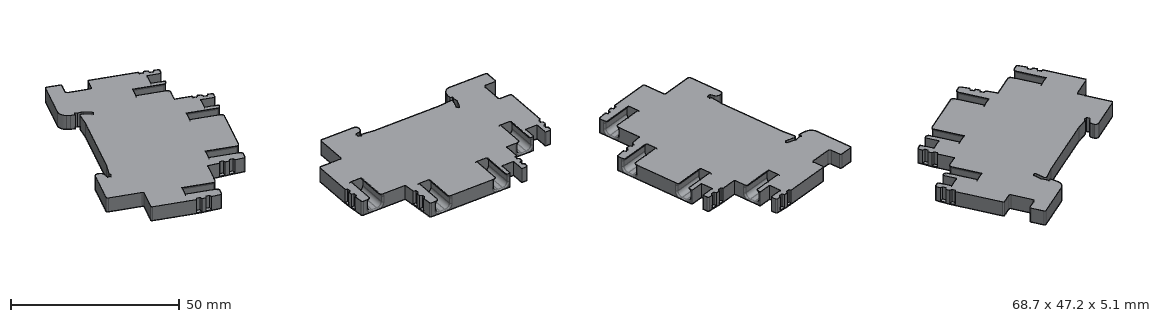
import cadquery as cq
import math

LENGTH = 68.65
HEIGHT = 47.2
THICKNESS = 5.1

UPPER_Y = HEIGHT
TIER_STEP = 11.95
LOWER_Y = UPPER_Y - TIER_STEP
LOWER_LEFT_X = 0.4
UPPER_LEFT_X = 16.8
LOWER_RIGHT_X = 68.0
UPPER_RIGHT_X = 51.55
SIDE_LEAN = 5.0
CORNER_R = 0.5
POST_CORNER_R = 0.2

SLOT_OFFSET = 2.05
SLOT_WIDTH = 4.1
SLOT_DEPTH = 4.45

CHANNEL_WIDTH = 5.0
CHANNEL_FLOOR_Z = 0.4
CHANNEL_FLOOR_R = 1.65
CHANNEL_TOP_R = 1.0
CHANNEL_OPENING = 3.4
CHANNEL_LENGTH = 10.5
CHANNEL_MOUTH_R = 0.55
MOUTH_MARGIN = 0.1
LOWER_CHANNELS_X = (9.9, 63.3)
UPPER_CHANNELS_X = (26.3, 46.9)

NOTCH_WIDTH = 1.8
NOTCH_DEPTH = 0.75
NOTCH_TAPER = 24.0
NOTCH_FLOOR_Z = 0.35
NOTCH_PITCH = 3.1
LEFT_NOTCH_DROP = 2.6
RIGHT_NOTCH_DROP = 4.2

BODY_BOTTOM_Y = 13.2
LEFT_NECK_X = 4.4
LEFT_NECK_R = 0.75
FOOT_TOP_Y = 5.1
RIGHT_NECK_X = 60.6
RIGHT_FOOT_Y = 1.65
RIGHT_FOOT_R = 0.6

SEAT_Y = 6.4
SEAT_LEFT_X = 21.2
SEAT_RIGHT_X = 44.35
SEAT_EDGE_Y = 5.9

NOSE_X = 15.3
NOSE_R = 2.75
NOSE_FLANK_X = 16.1
NOSE_FLANK_Y = 3.3
CATCH_X = 16.2
CATCH_ROOT_X = 15.3
CATCH_Y = 4.75
BUMP_X = 15.5
BUMP_Y = 5.6

SPRING_BEND_X = 15.3
SPRING_BEND_Y = 7.3
SPRING_BEND_R = 1.0
SPRING_TOP_LEFT_X = 16.4
SPRING_TOP_RIGHT_X = 17.5
SPRING_TOP_Y = 10.15
SPRING_TOP_R = 0.5
SPRING_LIP_X = 16.05
SPRING_LIP_R = 0.6

HOOK_X = 47.6
HOOK_SHOULDER_Y = 4.3
HOOK_TOP_R = 1.5
HOOK_BOTTOM_R = 1.0
HOOK_ROOT_X = 50.05
HOOK_ROOT_BOTTOM_Y = 4.95
HOOK_ROOT_TOP_Y = 6.1
UNDERCUT_PEAK_X = 49.0
SEAT_END_X = 48.6


def lean_shift(drop):
    """Sideways shift of a leaning wall at a distance below its top."""
    return drop * math.tan(math.radians(SIDE_LEAN))


def lean_height(shift):
    """Height over which a leaning wall moves sideways by shift."""
    return shift / math.tan(math.radians(SIDE_LEAN))


def rounded_outline(corners, plane):
    """Closed wire in a plane through its (x, y, radius) corners; radius 0 keeps a corner sharp."""
    spans = []
    for i, (x, y, radius) in enumerate(corners):
        here = cq.Vector(x, y)
        to_last = (cq.Vector(*corners[i - 1][:2]) - here).normalized()
        to_next = (cq.Vector(*corners[(i + 1) % len(corners)][:2]) - here).normalized()
        half_angle = to_last.getAngle(to_next) / 2
        setback = radius / math.tan(half_angle)
        bulge = radius / math.sin(half_angle) - radius
        middle = here + (to_last + to_next).normalized() * bulge
        spans.append((here + to_last * setback, middle, here + to_next * setback, radius))
    outline = cq.Workplane(plane).moveTo(*spans[0][2].toTuple()[:2])
    for start, middle, end, radius in spans[1:] + spans[:1]:
        outline = outline.lineTo(start.x, start.y)
        if radius > 0:
            outline = outline.threePointArc((middle.x, middle.y), (end.x, end.y))
    return outline.wire()


def left_tier(corner_x, top_y):
    """Corners of a left side wall and its open slot, from the wall's foot."""
    slot_left = corner_x + SLOT_OFFSET
    slot_right = slot_left + SLOT_WIDTH
    slot_bottom = top_y - SLOT_DEPTH
    return [
        (corner_x - LOWER_LEFT_X, top_y - lean_height(LOWER_LEFT_X), 0),
        (corner_x, top_y, CORNER_R),
        (slot_left, top_y, POST_CORNER_R),
        (slot_left, slot_bottom, 0),
        (slot_right, slot_bottom, 0),
        (slot_right, top_y, POST_CORNER_R),
    ]


def plate():
    left_foot = [
        (NOSE_X, 0, NOSE_R),
        (0, 0, CORNER_R),
        (0, FOOT_TOP_Y, CORNER_R),
        (LEFT_NECK_X, FOOT_TOP_Y, LEFT_NECK_R),
        (LEFT_NECK_X, BODY_BOTTOM_Y, CORNER_R),
        (0, BODY_BOTTOM_Y, CORNER_R),
    ]
    upper_side = (
        left_tier(LOWER_LEFT_X, LOWER_Y)
        + [(UPPER_LEFT_X - LOWER_LEFT_X, LOWER_Y, 0)]
        + left_tier(UPPER_LEFT_X, UPPER_Y)
    )
    right_side = [
        (UPPER_RIGHT_X, UPPER_Y, CORNER_R),
        (UPPER_RIGHT_X + lean_shift(TIER_STEP), LOWER_Y, 0),
        (LOWER_RIGHT_X, LOWER_Y, CORNER_R),
        (LENGTH, LOWER_Y - lean_height(LENGTH - LOWER_RIGHT_X), 0),
        (LENGTH, BODY_BOTTOM_Y, CORNER_R),
        (RIGHT_NECK_X, BODY_BOTTOM_Y, CORNER_R),
        (RIGHT_NECK_X, RIGHT_FOOT_Y, RIGHT_FOOT_R),
    ]
    right_hook = [
        (HOOK_X, RIGHT_FOOT_Y, HOOK_BOTTOM_R),
        (HOOK_X, HOOK_SHOULDER_Y, HOOK_TOP_R),
        (HOOK_ROOT_X, HOOK_ROOT_BOTTOM_Y, 0),
        (HOOK_ROOT_X, HOOK_ROOT_TOP_Y, 0),
        (UNDERCUT_PEAK_X, SEAT_Y, 0),
        (SEAT_END_X, SEAT_EDGE_Y, 0),
    ]
    rail_seat = [
        (SEAT_RIGHT_X, SEAT_Y, 0),
        (SEAT_LEFT_X, SEAT_Y, 0),
    ]
    spring_slot = [
        (SPRING_LIP_X, SEAT_EDGE_Y, SPRING_LIP_R),
        (SPRING_TOP_RIGHT_X, SPRING_TOP_Y, SPRING_TOP_R),
        (SPRING_TOP_LEFT_X, SPRING_TOP_Y, SPRING_TOP_R),
        (SPRING_BEND_X, SPRING_BEND_Y, SPRING_BEND_R),
        (BUMP_X, BUMP_Y, 0),
        (CATCH_ROOT_X, CATCH_Y, 0),
        (CATCH_X, CATCH_Y, 0),
        (NOSE_FLANK_X, NOSE_FLANK_Y, 0),
    ]
    corners = left_foot + upper_side + right_side + right_hook + rail_seat + spring_slot
    return rounded_outline(corners, cq.Plane.XY()).extrude(THICKNESS)


def cut_channel(body, center_x, top_y):
    """Channel running in from a tier top, its sides curling in at the +Z face."""
    half_width = CHANNEL_WIDTH / 2
    curl = CHANNEL_TOP_R - half_width + CHANNEL_OPENING / 2
    ceiling_z = THICKNESS + CHANNEL_TOP_R - math.sqrt(CHANNEL_TOP_R**2 - curl**2)
    section = [
        (-half_width, CHANNEL_FLOOR_Z, CHANNEL_FLOOR_R),
        (half_width, CHANNEL_FLOOR_Z, CHANNEL_FLOOR_R),
        (half_width, ceiling_z, CHANNEL_TOP_R),
        (-half_width, ceiling_z, CHANNEL_TOP_R),
    ]
    mouth_plane = cq.Plane.XZ(origin=(center_x, top_y, 0))
    channel = rounded_outline(section, mouth_plane).extrude(CHANNEL_LENGTH)
    mouth = cq.selectors.BoxSelector(
        (center_x - half_width - MOUTH_MARGIN, top_y - MOUTH_MARGIN, MOUTH_MARGIN),
        (center_x + half_width + MOUTH_MARGIN, top_y + MOUTH_MARGIN, THICKNESS - MOUTH_MARGIN),
    )
    return body.cut(channel).edges(mouth).fillet(CHANNEL_MOUTH_R)


def side_notch(corner_x, top_y, drop, side):
    """Notch cutter, narrowing inwards from a leaning wall; side is -1 left, +1 right."""
    lean = math.radians(SIDE_LEAN)
    mouth_center = (corner_x + side * lean_shift(drop), top_y - drop, NOTCH_FLOOR_Z + THICKNESS)
    wall = cq.Plane(
        origin=mouth_center,
        xDir=(-side * math.sin(lean), math.cos(lean), 0),
        normal=(-side * math.cos(lean), -math.sin(lean), 0),
    )
    return cq.Workplane(wall).rect(NOTCH_WIDTH, 2 * THICKNESS).extrude(NOTCH_DEPTH, taper=NOTCH_TAPER)


result = plate()

for tier_y, channel_positions in ((LOWER_Y, LOWER_CHANNELS_X), (UPPER_Y, UPPER_CHANNELS_X)):
    for channel_x in channel_positions:
        result = cut_channel(result, channel_x, tier_y)

for wall_x, tier_y, first_drop, wall_side in (
    (LOWER_LEFT_X, LOWER_Y, LEFT_NOTCH_DROP, -1),
    (UPPER_LEFT_X, UPPER_Y, LEFT_NOTCH_DROP, -1),
    (LOWER_RIGHT_X, LOWER_Y, RIGHT_NOTCH_DROP, 1),
    (UPPER_RIGHT_X, UPPER_Y, RIGHT_NOTCH_DROP, 1),
):
    for notch_drop in (first_drop, first_drop + NOTCH_PITCH):
        result = result.cut(side_notch(wall_x, tier_y, notch_drop, wall_side))